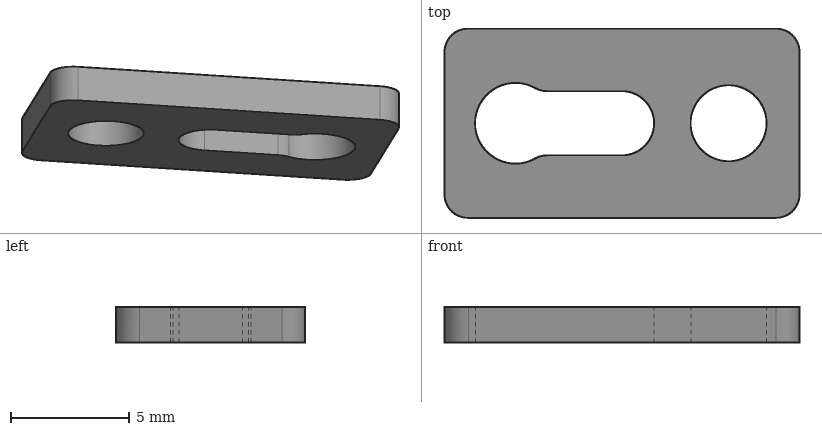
import cadquery as cq

length = 15.0
width = 8.0
thickness = 1.5
corner_radius = 1.0

hole_offset = 4.5
round_hole_diameter = 3.2
keyhole_diameter = 3.4

slot_width = 2.7
slot_end_x = 0.0
junction_radius = 1.0


def make_plate():
    """Flat plate with rounded vertical corners, standing on Z = 0."""
    plate = cq.Workplane("XY").box(length, width, thickness, centered=(True, True, False))
    return plate.edges("|Z").fillet(corner_radius)


def make_cylinder(x, diameter):
    """Vertical cutter through the plate, centred on the X axis."""
    return cq.Workplane("XY").center(x, 0).circle(diameter / 2).extrude(thickness)


def make_keyhole():
    """Large hole joined to a round-ended slot, with the two junction corners blended."""
    slot_length = slot_end_x + hole_offset
    slot = (
        cq.Workplane("XY")
        .center(slot_end_x - slot_length / 2, 0)
        .rect(slot_length, slot_width)
        .extrude(thickness)
    )
    slot = slot.union(make_cylinder(slot_end_x, slot_width))
    keyhole = make_cylinder(-hole_offset, keyhole_diameter).union(slot)

    reach = ((keyhole_diameter / 2) ** 2 - (slot_width / 2) ** 2) ** 0.5
    junction_x = reach - hole_offset
    for side in (-1, 1):
        corner = cq.selectors.NearestToPointSelector((junction_x, side * slot_width / 2, thickness / 2))
        keyhole = keyhole.edges("|Z").edges(corner).fillet(junction_radius)
    return keyhole


plate = make_plate()
result = plate.cut(make_keyhole()).cut(make_cylinder(hole_offset, round_hole_diameter))